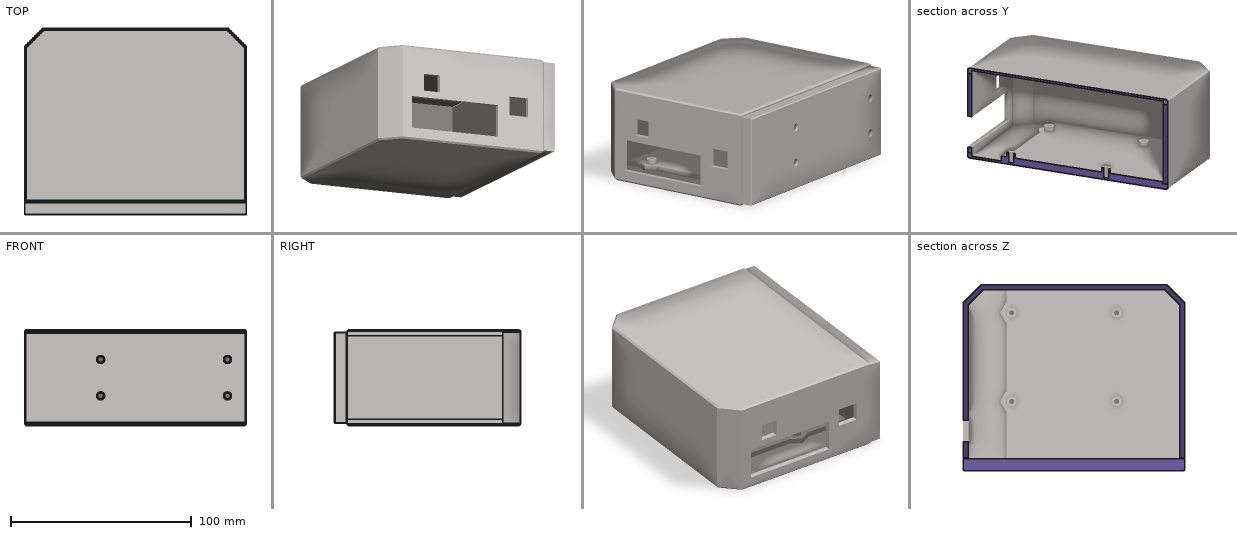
import cadquery as cq
import math

WIDTH = 122.5
DEPTH = 103.0
HEIGHT = 53.0

PANEL_THICKNESS = 6.7
PANEL_GAP = 0.31
PANEL_CHAMFER = 0.5
COVER_THICKNESS = 1.5
COVER_CHAMFER = 1.0
LIP_HEIGHT = 2.0
WALL = 3.0
CORNER_CUT = 10.0

LEFT = -WIDTH / 2
BACK = DEPTH / 2
FRONT = -DEPTH / 2
PANEL_BACK = FRONT + PANEL_THICKNESS
SEAM = PANEL_BACK + PANEL_GAP
BOTTOM = -HEIGHT / 2
INNER_HEIGHT = HEIGHT - 2 * COVER_THICKNESS
FLOOR = BOTTOM + COVER_THICKNESS
LIP_LENGTH = BACK - CORNER_CUT - SEAM
INNER_WIDTH = WIDTH - 2 * WALL

WINDOWS = [
    (23.4, 6.5, 9.5, 9.5),
    (9.3, -11.0, 52.3, 17.9),
    (-29.4, -1.8, 11.5, 10.5),
]

SCREW_HOLE_DIAMETER = 3.3
SCREW_HOLE_DEPTH = 4.9
SCREW_HOLE_CHAMFER = 0.5
SCREW_PITCH_X = 70.1
SCREW_PITCH_Z = 20.1
SCREW_PATTERN_X = 15.8

PAD_HEIGHT = 3.0
PAD_LEFT = -37.2
BOSS_ACROSS_FLATS = 11.0
STANDOFF_DIAMETER = 5.5
STANDOFF_HEIGHT = 5.6
STANDOFF_HOLE_DIAMETER = 2.7
STANDOFF_LEFT = -34.4
STANDOFF_FRONT = -13.1
STANDOFF_PITCH_X = 58.0
STANDOFF_PITCH_Y = 49.0


def case_outline(inset, front):
    """Rectangle with its two back corners cut at 45 degrees, moved inwards by inset at back and sides."""
    side = WIDTH / 2 - inset
    back = BACK - inset
    cut = CORNER_CUT - (2 - math.sqrt(2)) * inset
    return (
        cq.Workplane("XY")
        .moveTo(-side, front)
        .lineTo(side, front)
        .lineTo(side, back - cut)
        .lineTo(side - cut, back)
        .lineTo(-side + cut, back)
        .lineTo(-side, back - cut)
        .close()
    )


def side_lips():
    """Two strips as thick as the side walls, standing on the bottom cover."""
    strips = cq.Workplane("XY")
    for side in (-1, 1):
        x = side * (WIDTH - WALL) / 2
        strip = cq.Workplane("XY").box(WALL, LIP_LENGTH, LIP_HEIGHT, centered=(True, False, False))
        strips = strips.add(strip.translate((x, SEAM, FLOOR)))
    return strips


def cover():
    """Bottom cover plate, chamfered outside, with a lip along each side."""
    plate = case_outline(0, SEAM).extrude(COVER_THICKNESS).faces("<Z").chamfer(COVER_CHAMFER)
    plate = plate.translate((0, 0, BOTTOM))
    for lip in side_lips().vals():
        plate = plate.union(cq.Workplane(lip))
    return plate


def add_pad_and_standoffs(plate):
    """Raised pad on the inside of the bottom cover, with four hexagonal bosses and drilled standoffs."""
    pad_right = INNER_WIDTH / 2
    pad = (
        cq.Workplane("XY", origin=(PAD_LEFT, SEAM, FLOOR))
        .rect(pad_right - PAD_LEFT, BACK - WALL - SEAM, centered=False)
        .extrude(PAD_HEIGHT)
    ).intersect(case_outline(WALL, SEAM).extrude(HEIGHT, both=True))
    standoff_places = cq.Workplane("XY", origin=(0, 0, FLOOR)).pushPoints([
        (STANDOFF_LEFT + i * STANDOFF_PITCH_X, STANDOFF_FRONT + j * STANDOFF_PITCH_Y)
        for i in (0, 1)
        for j in (0, 1)
    ])
    posts = standoff_places.circle(STANDOFF_DIAMETER / 2).extrude(STANDOFF_HEIGHT)
    bosses = standoff_places.polygon(6, BOSS_ACROSS_FLATS / math.cos(math.pi / 6)).extrude(PAD_HEIGHT)
    holes = standoff_places.circle(STANDOFF_HOLE_DIAMETER / 2).extrude(STANDOFF_HEIGHT)
    return plate.union(pad).union(bosses).union(posts).cut(holes)


def shell():
    """Side and back walls between the covers, open at the front, with windows in the left wall."""
    walls = case_outline(0, SEAM).extrude(INNER_HEIGHT).cut(case_outline(WALL, SEAM).extrude(INNER_HEIGHT))
    walls = walls.translate((0, 0, FLOOR))
    for lip in side_lips().vals():
        walls = walls.cut(cq.Workplane(lip)).cut(cq.Workplane(lip).mirror("XY"))
    for y, z, width, height in WINDOWS:
        window = cq.Workplane("XY").box(2 * WALL, width, height).translate((LEFT, y, z))
        walls = walls.cut(window)
    return walls


def front_panel():
    """Front plate with four chamfered blind screw holes."""
    panel = (
        cq.Workplane("XY")
        .box(WIDTH, PANEL_THICKNESS, INNER_HEIGHT)
        .translate((0, (FRONT + PANEL_BACK) / 2, 0))
        .faces("<Y")
        .chamfer(PANEL_CHAMFER)
    )
    holes = (
        cq.Workplane("XZ", origin=(SCREW_PATTERN_X, FRONT, 0))
        .rarray(SCREW_PITCH_X, SCREW_PITCH_Z, 2, 2)
        .circle(SCREW_HOLE_DIAMETER / 2)
        .extrude(-SCREW_HOLE_DEPTH)
    )
    panel = panel.cut(holes)
    return panel.faces("<Y").edges("%CIRCLE").chamfer(SCREW_HOLE_CHAMFER)


top_cover = cover().mirror("XY")
bottom_cover = add_pad_and_standoffs(cover())
case_shell = shell()
panel = front_panel()

result = cq.Compound.makeCompound([
    top_cover.val(),
    bottom_cover.val(),
    case_shell.val(),
    panel.val(),
])